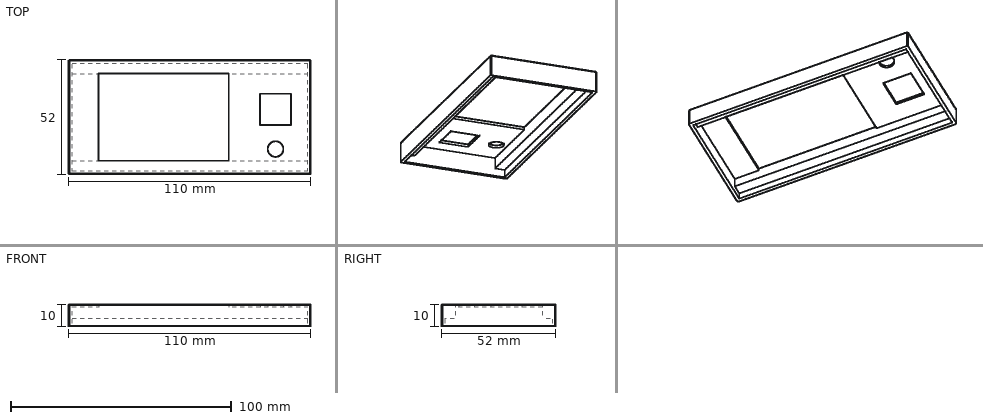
import cadquery as cq

length = 110.0
width = 52.0
height = 10.0
body_center = (0.0, 0.0)
edge_chamfer = 0.55

wall = 1.6
plate_thickness = 1.3
ledge_depth = 6.4

window_length = 59.0
window_width = 39.4
window_center = (-11.8, 0.0)

column_x = 38.95
square_side = 14.0
square_center = (column_x, 3.5)
button_diameter = 7.0
button_center = (column_x, -14.5)

cavity_length = length - 2 * wall
recess_width = width - 2 * wall
recess_height = height - ledge_depth
pocket_width = window_width
pocket_height = height - plate_thickness


def make_rectangular_cutter(center, size_x, size_y, cut_height=height):
    """Rectangular prism rising from the underside; full height by default."""
    return cq.Workplane("XY").center(*center).rect(size_x, size_y).extrude(cut_height)


def make_round_cutter(center, diameter):
    """Cylinder that passes through the full height."""
    return cq.Workplane("XY").center(*center).circle(diameter / 2).extrude(height)


def make_body():
    """Box with chamfered top and vertical corner edges."""
    box = cq.Workplane("XY").box(length, width, height, centered=(True, True, False))
    return box.edges("|Z or >Z").chamfer(edge_chamfer)


def hollow(body):
    """Cut a wide lower recess and a narrower pocket between the side ledges."""
    recess = make_rectangular_cutter(body_center, cavity_length, recess_width, recess_height)
    pocket = make_rectangular_cutter(body_center, cavity_length, pocket_width, pocket_height)
    return body.cut(recess).cut(pocket)


def cut_openings(shell):
    """Cut the window, the square opening and the button hole through the top plate."""
    window = make_rectangular_cutter(window_center, window_length, window_width)
    square = make_rectangular_cutter(square_center, square_side, square_side)
    button = make_round_cutter(button_center, button_diameter)
    return shell.cut(window).cut(square).cut(button)


result = cut_openings(hollow(make_body()))